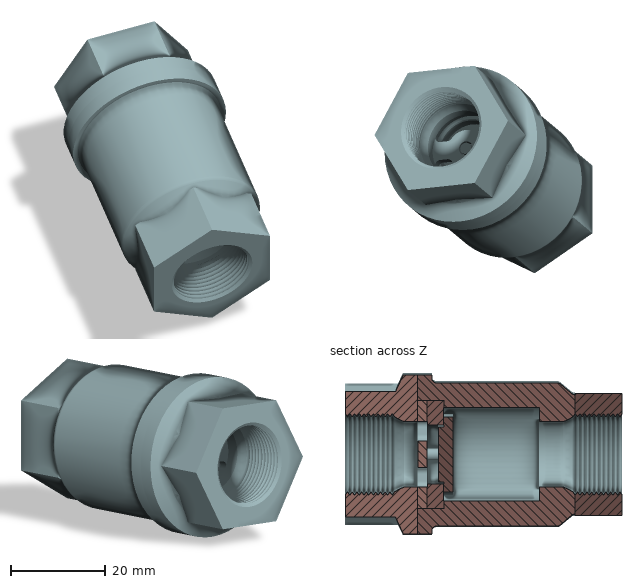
import cadquery as cq
import math

LENGTH = 58.7
FLANGE_RADIUS = 17.15
BARREL_RADIUS = 15.5
HEX_ACROSS_FLATS = 26.0
HEX_FLAT_RADIUS = HEX_ACROSS_FLATS / 2
HEX_CORNER_DIAMETER = HEX_ACROSS_FLATS / math.cos(math.pi / 6)

FLANGE_START = 12.25
JOINT = 15.4
FLANGE_END = 18.45
CAP_CONE_START = 10.35
BARREL_START = 18.95
BARREL_END = 45.3
OUTLET_CONE_END = 48.3
OUTLET_HEX_START = 46.6

CORNERS_ALONG_Y = 0
CORNERS_ALONG_Z = 30

CAP_BLEND = 1.0
FLANGE_BLEND = 0.8
OUTLET_BLEND = 1.2

THREAD_MAJOR_RADIUS = 9.05
THREAD_MINOR_RADIUS = 8.4
THREAD_PITCH = 1.0
THREAD_TURNS = 10
THREAD_LENGTH = THREAD_PITCH * THREAD_TURNS
PORT_RADIUS = 7.45
PORT_CONE_LENGTH = 2.0

SOCKET_RADIUS = 11.75
CHAMBER_RADIUS = 10.3
CHAMBER_END = 41.1

GUIDE_THICKNESS = 2.0
GUIDE_END = JOINT + GUIDE_THICKNESS
WINDOW_RADIUS = 7.75
BAR_HALF_WIDTH = 2.0
HUB_RADIUS = 4.05
WINDOW_FILLET = 1.2
STEM_HOLE_RADIUS = 1.5

SEAT_THICKNESS = 3.5
SEAT_END = GUIDE_END + SEAT_THICKNESS
SEAT_BORE_RADIUS = 6.8
SEAT_CHAMFER = 0.25

POPPET_FLANGE_RADIUS = 8.5
POPPET_FLANGE_THICKNESS = 2.0
NOSE_RADIUS = 6.6
NOSE_LENGTH = 1.2
STEM_RADIUS = 1.25


def revolve_profile(profile):
    """Turn a closed (x, radius) profile about the X axis."""
    return profile.close().revolve(360, (0, 0, 0), (1, 0, 0))


def cylinder(start, end, radius):
    """A solid cylinder along X between two stations."""
    return cq.Workplane("YZ").workplane(offset=start).circle(radius).extrude(end - start)


def hexagon(start, end, turn):
    """A hexagonal prism along X, turned about its axis."""
    prism = cq.Workplane("YZ").polygon(6, HEX_CORNER_DIAMETER).extrude(end - start)
    return prism.rotate((0, 0, 0), (1, 0, 0), turn).translate((start, 0, 0))


def blend_points(corner, before, after, radius):
    """Start, middle and end of the arc that rounds a profile corner."""
    into = math.atan2(corner[1] - before[1], corner[0] - before[0])
    out = math.atan2(after[1] - corner[1], after[0] - corner[0])
    half_turn = (out - into) / 2
    tangent = radius * math.tan(abs(half_turn))
    start = (corner[0] - tangent * math.cos(into), corner[1] - tangent * math.sin(into))
    end = (corner[0] + tangent * math.cos(out), corner[1] + tangent * math.sin(out))
    offset = radius / math.cos(half_turn) - radius
    inward = (into + out) / 2 + math.copysign(math.pi / 2, half_turn)
    middle = (corner[0] + offset * math.cos(inward), corner[1] + offset * math.sin(inward))
    return start, middle, end


def port_cavity(depth):
    """Inlet port from x = 0: threaded mouth, cone and plain bore."""
    profile = cq.Workplane("XY").moveTo(0, 0).lineTo(0, THREAD_MAJOR_RADIUS)
    for turn in range(THREAD_TURNS):
        turn_start = turn * THREAD_PITCH
        profile = profile.lineTo(turn_start + THREAD_PITCH / 2, THREAD_MINOR_RADIUS)
        profile = profile.lineTo(turn_start + THREAD_PITCH, THREAD_MAJOR_RADIUS)
    profile = profile.lineTo(THREAD_LENGTH + THREAD_PITCH / 2, THREAD_MINOR_RADIUS)
    profile = profile.lineTo(THREAD_LENGTH + THREAD_PITCH / 2 + PORT_CONE_LENGTH, PORT_RADIUS)
    profile = profile.lineTo(depth, PORT_RADIUS).lineTo(depth, 0)
    return revolve_profile(profile)


def make_cap():
    """Inlet cap: hexagon, cone blended into the flats, half flange and threaded port."""
    corner = (CAP_CONE_START, HEX_FLAT_RADIUS)
    flange_edge = (FLANGE_START, FLANGE_RADIUS)
    start, middle, end = blend_points(corner, (0, HEX_FLAT_RADIUS), flange_edge, CAP_BLEND)
    flange = revolve_profile(
        cq.Workplane("XY")
        .moveTo(start[0], 0)
        .lineTo(*start)
        .threePointArc(middle, end)
        .lineTo(*flange_edge)
        .lineTo(JOINT, FLANGE_RADIUS)
        .lineTo(JOINT, 0)
    )
    return hexagon(0, FLANGE_START, CORNERS_ALONG_Y).union(flange).cut(port_cavity(JOINT))


def housing_shell():
    """Outside of the housing: half flange, barrel and the cone down to the outlet hexagon."""
    flange_foot = (FLANGE_END, BARREL_RADIUS + BARREL_START - FLANGE_END)
    barrel_start = (BARREL_START, BARREL_RADIUS)
    barrel_end = (BARREL_END, BARREL_RADIUS)
    cone_end = (OUTLET_CONE_END, HEX_FLAT_RADIUS)
    flange_blend = blend_points(barrel_start, flange_foot, barrel_end, FLANGE_BLEND)
    shoulder_blend = blend_points(barrel_end, barrel_start, cone_end, OUTLET_BLEND)
    hexagon_blend = blend_points(cone_end, barrel_end, (LENGTH, HEX_FLAT_RADIUS), OUTLET_BLEND)
    profile = (
        cq.Workplane("XY")
        .moveTo(JOINT, 0)
        .lineTo(JOINT, FLANGE_RADIUS)
        .lineTo(FLANGE_END, FLANGE_RADIUS)
        .lineTo(*flange_foot)
    )
    for start, middle, end in (flange_blend, shoulder_blend, hexagon_blend):
        profile = profile.lineTo(*start).threePointArc(middle, end)
    return revolve_profile(profile.lineTo(hexagon_blend[2][0], 0))


def outlet_port():
    """Outlet port, the mirror image of the inlet port, reaching in to the chamber."""
    return port_cavity(LENGTH - CHAMBER_END).mirror("YZ").translate((LENGTH, 0, 0))


def make_housing():
    """Housing: shell bored for the guide, the seat, the poppet chamber and the outlet port."""
    return (
        housing_shell()
        .cut(cylinder(JOINT, SEAT_END, SOCKET_RADIUS))
        .cut(cylinder(SEAT_END, CHAMBER_END, CHAMBER_RADIUS))
        .cut(outlet_port())
    )


def make_outlet_nut():
    """Outlet hexagon, recessed to fit over the cone of the housing."""
    prism = hexagon(OUTLET_HEX_START, LENGTH, CORNERS_ALONG_Z)
    return prism.cut(housing_shell()).cut(outlet_port())


def make_guide():
    """Stem guide plate with two rounded windows and the stem hole."""
    bar = cq.Workplane("XY").box(GUIDE_THICKNESS, 2 * WINDOW_RADIUS, 2 * BAR_HALF_WIDTH)
    bar = bar.translate((JOINT + GUIDE_THICKNESS / 2, 0, 0))
    windows = (
        cylinder(JOINT, GUIDE_END, WINDOW_RADIUS)
        .cut(bar)
        .cut(cylinder(JOINT, GUIDE_END, HUB_RADIUS))
        .edges("|X")
        .fillet(WINDOW_FILLET)
    )
    stem_hole = cylinder(JOINT, GUIDE_END, STEM_HOLE_RADIUS)
    return cylinder(JOINT, GUIDE_END, SOCKET_RADIUS).cut(windows).cut(stem_hole)


def make_seat():
    """Seat ring with a chamfered inlet edge."""
    bore = cylinder(GUIDE_END, SEAT_END, SEAT_BORE_RADIUS)
    ring = cylinder(GUIDE_END, SEAT_END, SOCKET_RADIUS).cut(bore)
    inlet_edge = cq.selectors.RadiusNthSelector(0)
    return ring.faces("<X").edges(inlet_edge).chamfer(SEAT_CHAMFER)


def make_poppet():
    """Poppet: stem ending level with the guide face, nose inside the seat bore, and flange."""
    stem = cylinder(JOINT, SEAT_END, STEM_RADIUS)
    nose = cylinder(SEAT_END - NOSE_LENGTH, SEAT_END, NOSE_RADIUS)
    flange = cylinder(SEAT_END, SEAT_END + POPPET_FLANGE_THICKNESS, POPPET_FLANGE_RADIUS)
    return flange.union(nose).union(stem)


cap = make_cap()
housing = make_housing()
outlet_nut = make_outlet_nut()
guide = make_guide()
seat = make_seat()
poppet = make_poppet()

bodies = [cap, housing, outlet_nut, guide, seat, poppet]
result = cq.Compound.makeCompound([body.solids().val() for body in bodies])